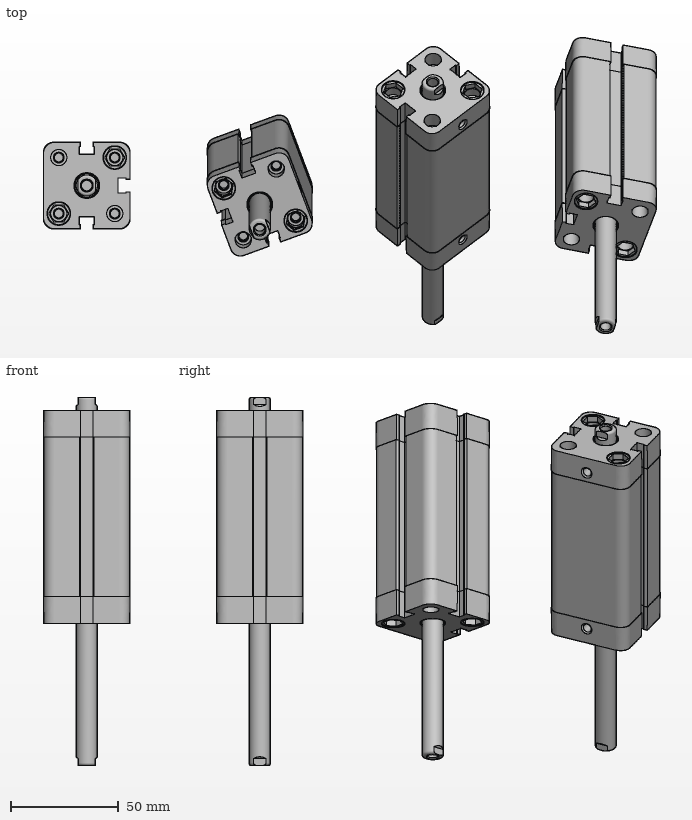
import cadquery as cq
import math

housing_height = 99.0
cap_height = 12.5
rod_top_reach = 6.0
rod_length = 171.0
barrel_height = housing_height - 2 * cap_height

barrel_width = 40.0
corner_radius = 5.0
cap_joint_width = 40.4
cap_end_width = barrel_width

slot_throat_width = 5.8
barrel_slot_opening = 6.8
slot_inner_width = 6.8
slot_floor_offset = 14.5
slot_lip_offset = 18.1
slot_angles = (-90, 0, 90)

rod_diameter = 10.0
rod_end_fillet = 1.2
rod_flat_width = 8.0
rod_flat_length = 3.2
rod_hole_diameter = 5.0
rod_hole_mouth = 6.0
rod_hole_depth = 10.0

rod_recess_mouth = 12.0
rod_recess_diameter = 11.1
rod_recess_depth = 2.0

corner_hole_offset = 13.0
corner_bore_diameter = 7.5
corner_bore_depth = 8.0
corner_tap_diameter = 4.1
corner_tap_mouth = 5.0
corner_tap_depth = 3.5

socket_bore_mouth = 11.0
socket_bore_diameter = 10.5
socket_bore_depth = 0.3
socket_across_flats = 8.0
socket_depth = 3.2

port_from_end = 7.7
port_diameter = 4.1
port_mouth = 5.5
port_depth = 6.0


def rounded_square(width, z):
    return (
        cq.Workplane("XY", origin=(0, 0, z))
        .sketch()
        .rect(width, width)
        .vertices()
        .fillet(corner_radius)
        .finalize()
    )


def slot_cutters(opening, z, height):
    """Slots along Z on the -Y, +X and +Y sides, undercut behind a lip.

    The mouth narrows from the given opening at the barrel face to the throat at the inside of the lip.
    """
    face = barrel_width / 2
    outside = cap_joint_width / 2
    half_inner = slot_inner_width / 2
    half_throat = slot_throat_width / 2
    half_opening = opening / 2
    upper_half = [
        (slot_floor_offset, half_inner),
        (slot_lip_offset, half_inner),
        (slot_lip_offset, half_throat),
        (face, half_opening),
        (outside, half_opening),
    ]
    lower_half = [(x, -y) for x, y in reversed(upper_half)]
    slot = cq.Workplane("XY", origin=(0, 0, z)).polyline(upper_half + lower_half).close().extrude(height)
    return [slot.rotate((0, 0, 0), (0, 0, 1), angle) for angle in slot_angles]


def round_hole(mouth_diameter, diameter, depth, lead_in=0):
    """Blind hole cutter running from the origin down to -depth, with a 45 degree mouth.

    The mouth continues to widen above the origin over the lead-in length.
    """
    mouth_radius = mouth_diameter / 2
    radius = diameter / 2
    profile = [
        (0, lead_in),
        (mouth_radius + lead_in, lead_in),
        (radius, radius - mouth_radius),
        (radius, -depth),
        (0, -depth),
    ]
    return cq.Workplane("XZ").polyline(profile).close().revolve(360, (0, 0, 0), (0, 1, 0))


def corner_hole():
    bore = cq.Workplane("XY").circle(corner_bore_diameter / 2).extrude(-corner_bore_depth)
    tap = round_hole(corner_tap_mouth, corner_tap_diameter, corner_tap_depth)
    return bore.union(tap.translate((0, 0, -corner_bore_depth)))


def socket_corner_hole():
    bore = round_hole(socket_bore_mouth, socket_bore_diameter, socket_bore_depth)
    across_corners = socket_across_flats / math.cos(math.pi / 6)
    socket = cq.Workplane("XY").polygon(6, across_corners).extrude(-socket_depth)
    return bore.union(socket).union(corner_hole())


def make_upper_cap():
    """Cap on top of the barrel, drafted so that it narrows away from the barrel."""
    joint_z = housing_height - cap_height
    draft = math.degrees(math.atan((cap_joint_width - cap_end_width) / 2 / cap_height))
    cap = rounded_square(cap_joint_width, joint_z).extrude(cap_height, taper=draft)
    for slot in slot_cutters(slot_throat_width, joint_z, cap_height):
        cap = cap.cut(slot)

    rod_hole = cq.Workplane("XY", origin=(0, 0, joint_z)).circle(rod_diameter / 2).extrude(cap_height)
    rod_recess = round_hole(rod_recess_mouth, rod_recess_diameter, rod_recess_depth)
    cap = cap.cut(rod_hole).cut(rod_recess.translate((0, 0, housing_height)))

    for side in (-1, 1):
        x = side * corner_hole_offset
        cap = cap.cut(socket_corner_hole().translate((x, x, housing_height)))
        cap = cap.cut(corner_hole().translate((x, -x, housing_height)))

    draft_share = port_from_end / cap_height
    port_face = (cap_end_width + (cap_joint_width - cap_end_width) * draft_share) / 2
    lead_in = cap_joint_width / 2 - port_face
    port = round_hole(port_mouth, port_diameter, port_depth, lead_in).rotate((0, 0, 0), (0, 1, 0), -90)
    return cap.cut(port.translate((-port_face, 0, housing_height - port_from_end)))


def make_barrel():
    barrel = rounded_square(barrel_width, cap_height).extrude(barrel_height)
    for slot in slot_cutters(barrel_slot_opening, cap_height, barrel_height):
        barrel = barrel.cut(slot)
    rod_hole = (
        cq.Workplane("XY", origin=(0, 0, cap_height)).circle(rod_diameter / 2).extrude(barrel_height)
    )
    return barrel.cut(rod_hole)


def rod_end_cutters():
    """Wrench flats with 45 degree run-outs and the tapped hole, for an upper rod end at Z = 0."""
    flat_x = rod_flat_width / 2
    outside_x = rod_diameter
    profile = [
        (flat_x, 0),
        (outside_x, 0),
        (outside_x, -rod_flat_length - (outside_x - flat_x)),
        (flat_x, -rod_flat_length),
    ]
    flat = cq.Workplane("XZ").polyline(profile).close().extrude(rod_diameter / 2, both=True)
    hole = round_hole(rod_hole_mouth, rod_hole_diameter, rod_hole_depth)
    return [flat, flat.mirror("YZ"), hole]


def make_rod():
    top_z = housing_height + rod_top_reach
    bottom_z = top_z - rod_length
    rod = cq.Workplane("XY", origin=(0, 0, bottom_z)).circle(rod_diameter / 2).extrude(rod_length)
    rod = rod.faces("<Z or >Z").edges().fillet(rod_end_fillet)
    for cutter in rod_end_cutters():
        rod = rod.cut(cutter.translate((0, 0, top_z)))
        rod = rod.cut(cutter.mirror("XY").translate((0, 0, bottom_z)))
    return rod


def make_caps():
    """Upper cap and its mirror image at the lower end of the housing."""
    mid_z = housing_height / 2
    centred_cap = make_upper_cap().translate((0, 0, -mid_z))
    caps = []
    for cap in (centred_cap, centred_cap.mirror("XY")):
        caps.append(cap.translate((0, 0, mid_z)))
    return caps


caps = make_caps()
barrel = make_barrel()
rod = make_rod()

result = cq.Compound.makeCompound([*[cap.val() for cap in caps], barrel.val(), rod.val()])